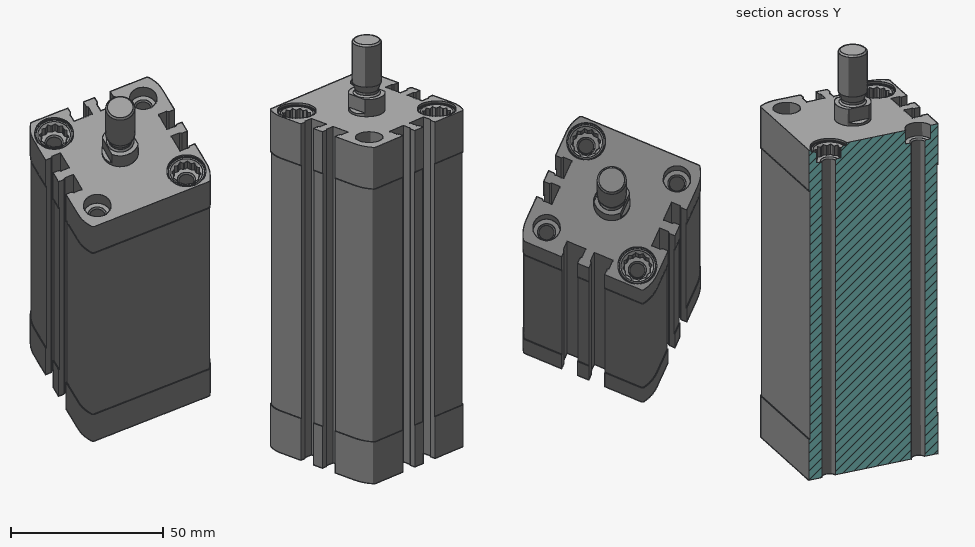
import cadquery as cq
import math


TOTAL_HEIGHT = 145.2

HOUSING_WIDTH = 47.0
HOUSING_HEIGHT = 120.2
CAP_HEIGHT = 15.0
TUBE_INSET = 0.3
CORNER_RADIUS = 12.0
CORNER_START = 16.5
CORNER_BLEND_RADIUS = 1.0

SLOT_DEPTH = 5.7
SLOT_OPENING_NEAR = 2.0
SLOT_OPENING_FAR = 7.7
SLOT_UNDERCUT = 0.51
SLOT_LIP = 2.0
SLOT_LIP_SLOPE = 0.6

HOLE_OFFSET = 16.3
BORE_DIAMETER = 5.0
BORE_MOUTH_DIAMETER = 6.0
COUNTERBORE_DIAMETER = 9.0
COUNTERBORE_DEPTH = 5.0

RECESS_DIAMETER = 12.8
RECESS_DEPTH = 0.7
SEAT_DIAMETER = 11.9
SEAT_DEPTH = 0.9
SOCKET_MOUTH_DIAMETER = 10.7
SOCKET_OUTER_DIAMETER = 9.6
SOCKET_INNER_DIAMETER = 8.5
SOCKET_CONE_DEPTH = 0.7
SOCKET_DEPTH = 5.1
SPLINE_COUNT = 12
SPLINE_CREST_ANGLE = 6.0

COLLAR_DIAMETER = 12.0
COLLAR_HEIGHT = 6.1
FLATS_WIDTH = 9.6
FLATS_START = 0.7
FLATS_SLOPE = 0.6
NECK_DIAMETER = 7.7
NECK_FOOT_DIAMETER = 9.0
NECK_FOOT_HEIGHT = 0.6
NECK_TOP = 7.5
THREAD_DIAMETER = 9.6
THREAD_START = 10.0
THREAD_CHAMFER = 0.6


def cornered_square(half_width, height):
    """Square prism whose four corners are cut by shallow arcs with blended ends."""
    arc_centre_y = half_width - CORNER_RADIUS
    arc_end_y = arc_centre_y + math.sqrt(CORNER_RADIUS**2 - (half_width - CORNER_START) ** 2)
    prism = (
        cq.Workplane("XY")
        .moveTo(-CORNER_START, half_width)
        .lineTo(CORNER_START, half_width)
        .radiusArc((half_width, arc_end_y), CORNER_RADIUS)
        .lineTo(half_width, -arc_end_y)
        .radiusArc((CORNER_START, -half_width), CORNER_RADIUS)
        .lineTo(-CORNER_START, -half_width)
        .radiusArc((-half_width, -arc_end_y), CORNER_RADIUS)
        .lineTo(-half_width, arc_end_y)
        .radiusArc((-CORNER_START, half_width), CORNER_RADIUS)
        .close()
        .extrude(height)
    )
    return prism.edges("|Z and (<X or >X)").fillet(CORNER_BLEND_RADIUS)


def slot_pair(side_angle):
    """Two undercut slots along the +Y side, turned about Z onto the wanted side."""
    face = HOUSING_WIDTH / 2
    floor = face - SLOT_DEPTH
    lip_back = face - SLOT_LIP
    undercut_start = lip_back - SLOT_LIP_SLOPE
    slot = (
        cq.Workplane("XY")
        .polyline([
            (SLOT_OPENING_NEAR, face),
            (SLOT_OPENING_NEAR, lip_back),
            (SLOT_OPENING_NEAR - SLOT_UNDERCUT, undercut_start),
            (SLOT_OPENING_NEAR - SLOT_UNDERCUT, floor),
            (SLOT_OPENING_FAR + SLOT_UNDERCUT, floor),
            (SLOT_OPENING_FAR + SLOT_UNDERCUT, undercut_start),
            (SLOT_OPENING_FAR, lip_back),
            (SLOT_OPENING_FAR, face),
        ])
        .close()
        .extrude(HOUSING_HEIGHT)
    )
    pair = slot.union(slot.mirror("YZ"))
    return pair.rotate((0, 0, 0), (0, 0, 1), side_angle)


def cone_down(top_diameter, bottom_diameter, depth, top_z):
    """Cone frustum on the Z axis that narrows downwards from top_z."""
    return cq.Workplane(
        cq.Solid.makeCone(bottom_diameter / 2, top_diameter / 2, depth, cq.Vector(0, 0, top_z - depth))
    )


def through_bore(mouth_z):
    """Bore through the housing with a 45 degree countersink at mouth_z."""
    bore = cq.Workplane("XY").circle(BORE_DIAMETER / 2).extrude(HOUSING_HEIGHT)
    countersink_depth = (BORE_MOUTH_DIAMETER - BORE_DIAMETER) / 2
    return bore.union(cone_down(BORE_MOUTH_DIAMETER, BORE_DIAMETER, countersink_depth, mouth_z))


def counterbored_hole():
    floor_z = HOUSING_HEIGHT - COUNTERBORE_DEPTH
    counterbore = (
        cq.Workplane("XY", origin=(0, 0, floor_z))
        .circle(COUNTERBORE_DIAMETER / 2)
        .extrude(COUNTERBORE_DEPTH)
    )
    return counterbore.union(through_bore(floor_z))


def polar_point(diameter, degrees):
    angle = math.radians(degrees)
    return (diameter / 2 * math.cos(angle), diameter / 2 * math.sin(angle))


def splined_hole():
    """Shallow stepped recess, conical lead-in, splined socket and through bore."""
    floor_z = HOUSING_HEIGHT - SOCKET_DEPTH
    seat_z = HOUSING_HEIGHT - SEAT_DEPTH
    top = cq.Workplane("XY", origin=(0, 0, HOUSING_HEIGHT))
    recess = top.circle(RECESS_DIAMETER / 2).extrude(-RECESS_DEPTH)
    seat = top.circle(SEAT_DIAMETER / 2).extrude(-SEAT_DEPTH)
    lead_in = cone_down(SOCKET_MOUTH_DIAMETER, SOCKET_INNER_DIAMETER, SOCKET_CONE_DEPTH, seat_z)
    spline_points = []
    for i in range(SPLINE_COUNT):
        groove_angle = 360 * i / SPLINE_COUNT
        ridge_angle = 360 * (i + 0.5) / SPLINE_COUNT
        spline_points.append(polar_point(SOCKET_OUTER_DIAMETER, groove_angle))
        for crest_side in (-1, 1):
            crest_angle = ridge_angle + crest_side * SPLINE_CREST_ANGLE / 2
            spline_points.append(polar_point(SOCKET_INNER_DIAMETER, crest_angle))
    socket = (
        cq.Workplane("XY", origin=(0, 0, floor_z))
        .polyline(spline_points)
        .close()
        .extrude(SOCKET_DEPTH - SEAT_DEPTH)
    )
    return recess.union(seat).union(lead_in).union(socket).union(through_bore(floor_z))


def make_housing():
    tube = cornered_square(HOUSING_WIDTH / 2 - TUBE_INSET, HOUSING_HEIGHT)
    cap = cornered_square(HOUSING_WIDTH / 2, CAP_HEIGHT)
    housing = tube.union(cap).union(cap.translate((0, 0, HOUSING_HEIGHT - CAP_HEIGHT)))
    for side_angle in (0, 90, 180):
        housing = housing.cut(slot_pair(side_angle))
    for side in (-1, 1):
        housing = housing.cut(counterbored_hole().translate((side * HOLE_OFFSET, -side * HOLE_OFFSET, 0)))
        housing = housing.cut(splined_hole().translate((side * HOLE_OFFSET, side * HOLE_OFFSET, 0)))
    return housing


def make_piston_rod():
    rod_length = TOTAL_HEIGHT - HOUSING_HEIGHT
    thread_radius = THREAD_DIAMETER / 2
    neck_radius = NECK_DIAMETER / 2
    rod = (
        cq.Workplane("XZ")
        .polyline([
            (0, 0),
            (COLLAR_DIAMETER / 2, 0),
            (COLLAR_DIAMETER / 2, COLLAR_HEIGHT),
            (NECK_FOOT_DIAMETER / 2, COLLAR_HEIGHT),
            (neck_radius, COLLAR_HEIGHT + NECK_FOOT_HEIGHT),
            (neck_radius, NECK_TOP),
            (thread_radius, THREAD_START),
            (thread_radius, rod_length - THREAD_CHAMFER),
            (thread_radius - THREAD_CHAMFER, rod_length),
            (0, rod_length),
        ])
        .close()
        .revolve(360, (0, 0, 0), (0, 1, 0))
    )
    flat_cut = (
        cq.Workplane("YZ")
        .polyline([
            (COLLAR_DIAMETER / 2, FLATS_START),
            (COLLAR_DIAMETER / 2, COLLAR_HEIGHT),
            (FLATS_WIDTH / 2, COLLAR_HEIGHT),
            (FLATS_WIDTH / 2, FLATS_START + FLATS_SLOPE),
        ])
        .close()
        .extrude(COLLAR_DIAMETER / 2, both=True)
    )
    rod = rod.cut(flat_cut).cut(flat_cut.mirror("XZ"))
    return rod.translate((0, 0, HOUSING_HEIGHT))


housing = make_housing()
piston_rod = make_piston_rod()
result = cq.Compound.makeCompound([housing.val(), piston_rod.val()])